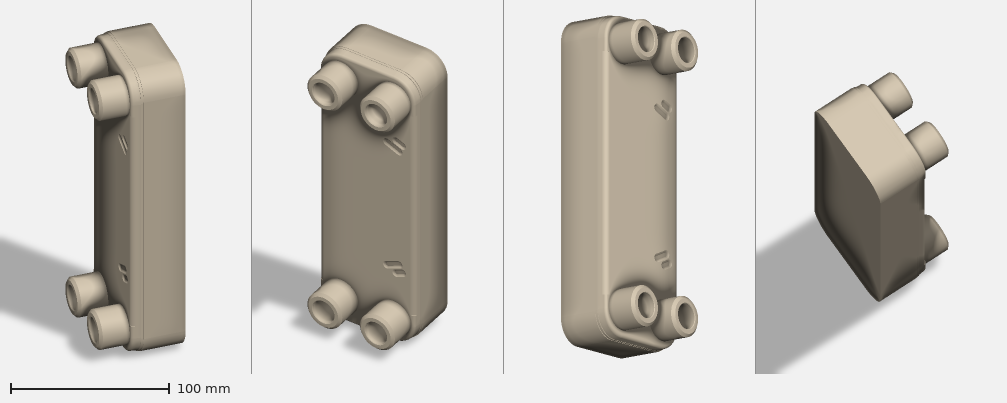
import cadquery as cq

LENGTH = 210.0
WIDTH = 73.7
TOTAL_DEPTH = 56.0

PACK_DEPTH = 28.1
PACK_CORNER = 16.2

SEAL_THICKNESS = 1.7
SEAL_INSET = 0.2
SEAL_CORNER = 16.5

COVER_THICKNESS = 6.3
COVER_INSET = 0.5
COVER_CORNER = 17.0
COVER_DRAFT = 6.0
RIM_FILLET = 1.9
SIDE_FILLET = 3.5
SIDE_FILLET_LENGTH = 157.5

PORT_X = 20.0
PORT_Z = 86.0
PORT_RADIUS = 13.2
PORT_CHAMFER = 1.9
BORE_RADIUS = 8.2
BORE_CHAMFER = 0.5

MARK_MIRROR_Z = 2.0
MARK_ANGLE = 23.0
MARK_WIDTH = 5.5
MARK_DEPTH = 1.0
MARK_DRAFT = 54.0
LONG_MARK_LENGTH = 15.5
LONG_MARK_X = 19.5
LONG_MARK_RISE = 46.6
SHORT_MARK_LENGTH = 10.7
SHORT_MARK_X = 24.4
SHORT_MARK_RISE = 51.2

SEAL_FRONT = PACK_DEPTH + SEAL_THICKNESS
COVER_FRONT = SEAL_FRONT + COVER_THICKNESS
PORT_LENGTH = TOTAL_DEPTH - COVER_FRONT


def plane_at(depth):
    """Plane facing the front, the given depth in front of the back face."""
    return cq.Workplane("XZ", origin=(0, -depth, 0))


def rounded_plate(depth, thickness, inset, corner, draft=0.0):
    """Plate with rounded corners, drawn in by `inset` from the outer size."""
    outline = cq.Sketch().rect(WIDTH - 2 * inset, LENGTH - 2 * inset).vertices().fillet(corner)
    return plane_at(depth).placeSketch(outline).extrude(thickness, taper=draft)


def blank_cover(fillet):
    """Drafted cover plate with its front rim rounded."""
    blank = rounded_plate(SEAL_FRONT, COVER_THICKNESS, COVER_INSET, COVER_CORNER, COVER_DRAFT)
    return blank.faces("<Y").edges().fillet(fillet)


def mark_pocket(length, x, rise, side):
    """Slot stamped into the cover; `side` is 1 above the mirror height and -1 below it."""
    return (
        plane_at(COVER_FRONT)
        .center(x, MARK_MIRROR_Z + side * rise)
        .slot2D(length, MARK_WIDTH, -side * MARK_ANGLE)
        .extrude(-MARK_DEPTH, taper=MARK_DRAFT)
    )


def make_cover():
    """Drafted cover with a wider rounding along the middle of its long sides and four stamped slots."""
    middle = cq.Workplane("XY").box(2 * WIDTH, 4 * TOTAL_DEPTH, SIDE_FILLET_LENGTH)
    ends = blank_cover(RIM_FILLET).cut(middle)
    cover = ends.union(blank_cover(SIDE_FILLET).intersect(middle))
    for side in (1, -1):
        cover = cover.cut(mark_pocket(LONG_MARK_LENGTH, LONG_MARK_X, LONG_MARK_RISE, side))
        cover = cover.cut(mark_pocket(SHORT_MARK_LENGTH, SHORT_MARK_X, SHORT_MARK_RISE, side))
    return cover


def make_port(x, z):
    """Hollow round port with a chamfered mouth."""
    port = plane_at(COVER_FRONT).center(x, z).circle(PORT_RADIUS).extrude(PORT_LENGTH)
    port = port.faces("<Y").edges().chamfer(PORT_CHAMFER)
    bore = plane_at(COVER_FRONT).center(x, z).circle(BORE_RADIUS).extrude(PORT_LENGTH)
    port = port.cut(bore)
    bore_rim = cq.selectors.RadiusNthSelector(0)
    return port.faces("<Y").edges(bore_rim).chamfer(BORE_CHAMFER)


plate_pack = rounded_plate(0, PACK_DEPTH, 0, PACK_CORNER)
seal_plate = rounded_plate(PACK_DEPTH, SEAL_THICKNESS, SEAL_INSET, SEAL_CORNER)
cover_plate = make_cover()
ports = [make_port(x, z) for x in (-PORT_X, PORT_X) for z in (-PORT_Z, PORT_Z)]

result = cq.Compound.makeCompound(
    [plate_pack.val(), seal_plate.val(), cover_plate.val(), *[port.val() for port in ports]]
)